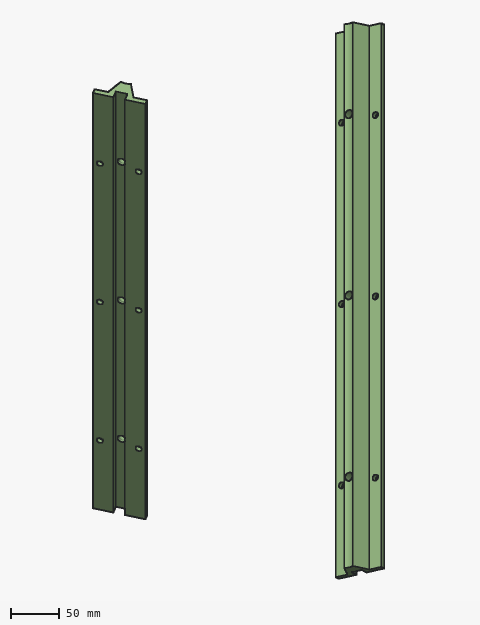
import cadquery as cq

length = 599.5
width = 57.0
depth = 24.5

flange_thickness = 6.0
ridge_base_width = 27.5
ridge_crest_width = 11.0
crest_hollow = 1.0
channel_width = 12.5
channel_depth = 9.0

center_hole_diameter = 9.0
side_hole_diameter = 6.5
side_hole_offset = 21.0
row_spacing = length / 3

front_y = -depth / 2
back_y = depth / 2
flange_back_y = front_y + flange_thickness
channel_floor_y = front_y + channel_depth


def rail_body():
    """Extrude the flanged ridge profile, with its concave crest and front channel."""
    return (
        cq.Workplane("XY")
        .workplane(offset=-length / 2)
        .moveTo(-width / 2, front_y)
        .lineTo(-channel_width / 2, front_y)
        .lineTo(-channel_width / 2, channel_floor_y)
        .lineTo(channel_width / 2, channel_floor_y)
        .lineTo(channel_width / 2, front_y)
        .lineTo(width / 2, front_y)
        .lineTo(width / 2, flange_back_y)
        .lineTo(ridge_base_width / 2, flange_back_y)
        .lineTo(ridge_crest_width / 2, back_y)
        .threePointArc((0, back_y - crest_hollow), (-ridge_crest_width / 2, back_y))
        .lineTo(-ridge_base_width / 2, flange_back_y)
        .lineTo(-width / 2, flange_back_y)
        .close()
        .extrude(length)
    )


def through_holes(x, diameter):
    """Cutting cylinders along Y, one for each hole row, at the given X."""
    row_heights = [row * row_spacing for row in (-1, 0, 1)]
    return (
        cq.Workplane("XZ")
        .pushPoints([(x, z) for z in row_heights])
        .circle(diameter / 2)
        .extrude(depth, both=True)
    )


result = rail_body().cut(through_holes(0, center_hole_diameter))
for side in (-1, 1):
    result = result.cut(through_holes(side * side_hole_offset, side_hole_diameter))